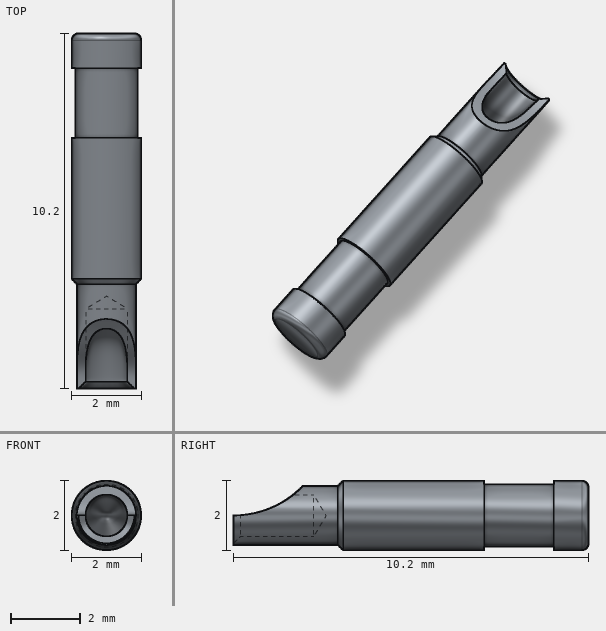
import cadquery as cq
import math

total_length = 10.2
head_length = 1.0
neck_length = 2.0
tip_length = 3.0
shoulder_start = head_length + neck_length
shoulder_end = total_length - tip_length

barrel_radius = 1.0
neck_radius = 0.9
tip_radius = 0.85
bore_radius = 0.6
countersink_radius = 0.8

head_fillet = 0.2
shoulder_chamfer = barrel_radius - tip_radius

countersink_depth = countersink_radius - bore_radius
bore_depth = 2.3
drill_point_angle = 118.0
drill_point_length = bore_radius / math.tan(math.radians(drill_point_angle / 2))
scoop_length = 2.0
scoop_radius = (scoop_length**2 + tip_radius**2) / (2 * tip_radius)


def make_body():
    """Stepped pin revolved about the Y axis from its half profile."""
    fillet_middle = head_fillet * (1 - math.sqrt(0.5))
    profile = (
        cq.Workplane("XY")
        .lineTo(barrel_radius - head_fillet, 0)
        .threePointArc(
            (barrel_radius - fillet_middle, -fillet_middle),
            (barrel_radius, -head_fillet),
        )
        .lineTo(barrel_radius, -head_length)
        .lineTo(neck_radius, -head_length)
        .lineTo(neck_radius, -shoulder_start)
        .lineTo(barrel_radius, -shoulder_start)
        .lineTo(barrel_radius, -(shoulder_end - shoulder_chamfer))
        .lineTo(tip_radius, -shoulder_end)
        .lineTo(tip_radius, -total_length)
        .lineTo(0, -total_length)
        .close()
    )
    return profile.revolve(360, (0, 0, 0), (0, 1, 0))


def make_bore():
    """Countersunk blind hole with a conical bottom, entering from the tip."""
    bore_bottom = -total_length + bore_depth
    profile = (
        cq.Workplane("XY")
        .moveTo(0, -total_length)
        .lineTo(countersink_radius, -total_length)
        .lineTo(bore_radius, -total_length + countersink_depth)
        .lineTo(bore_radius, bore_bottom)
        .lineTo(0, bore_bottom + drill_point_length)
        .close()
    )
    return profile.revolve(360, (0, 0, 0), (0, 1, 0))


def make_scoop():
    """Cylinder across the tip, tangent to the mid plane at the tip face."""
    return (
        cq.Workplane("YZ")
        .center(-total_length, scoop_radius)
        .circle(scoop_radius)
        .extrude(barrel_radius, both=True)
    )


result = make_body().cut(make_bore()).cut(make_scoop())